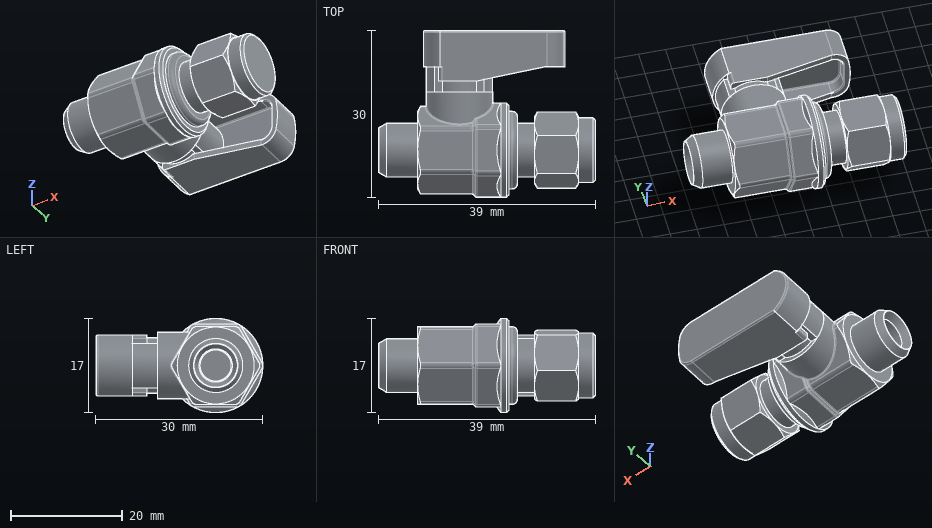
import cadquery as cq
import math

INLET_X = -14.55
NEAR = 0.05

HEX_HALF_ANGLE = math.radians(30)
CHAMFER_SLOPE = math.tan(HEX_HALF_ANGLE)

NIPPLE_R = 4.86
NIPPLE_TIP_R = 4.0
NIPPLE_CHAMFER_LEN = 1.45
MOUTH_R = 3.9
MOUTH_DEPTH = 1.5
BORE_R = 3.0
BORE_DEPTH = 7.0
INNER_BORE_R = 2.8
INNER_BORE_DEPTH = 12.0

SMALL_HEX_FLATS = 14.0
LARGE_HEX_FLATS = 15.0
HEX_EDGE_R = 1.05
HEX_FACE_R = 6.92
HEX_STEP_BLEND_R = 0.3
BOSS_BLEND_R = 0.2

NIPPLE_LEN = 7.0
SMALL_HEX_LEN = 10.05
LARGE_HEX_LEN = 4.25
COLLAR_CONE_LEN = 0.7
COLLAR_RIM_LEN = 1.5
SMALL_HEX_X = INLET_X + NIPPLE_LEN
HEX_STEP_X = SMALL_HEX_X + SMALL_HEX_LEN
HEX_STEP_OVERLAP = 0.2
HEX_STEP_LEN = (LARGE_HEX_FLATS - SMALL_HEX_FLATS) / 2
COLLAR_X = HEX_STEP_X + LARGE_HEX_LEN
COLLAR_RIM_X = COLLAR_X + COLLAR_CONE_LEN
COLLAR_END_X = COLLAR_RIM_X + COLLAR_RIM_LEN
COLLAR_R = 8.5
COLLAR_CHAMFER = 0.5

BOSS_R = 6.0
BOSS_TOP_Y = 10.5

STEM_R = 5.03
STEM_LOBE_R = 5.98
STEM_LOBE_WIDTH = 8.0

HANDLE_WIDTH = 11.0
HANDLE_TOP_Y = 21.5
HANDLE_UNDERSIDE_Y = 15.0
HANDLE_HUB_R = 6.5
HANDLE_TIP_X = 19.0
HANDLE_TIP_R = 16.0
HANDLE_CORNER_R = 3.0
HANDLE_TOP_EDGE_R = 0.3
SKIRT_BOTTOM_Y = 12.4
SKIRT_START_X = -3.75
SKIRT_START_R = 0.65
SKIRT_SLOPE_START_X = 3.0
SKIRT_SLOPE_END_X = 15.5
HANDLE_WALL = 1.25
POCKET_FLOOR_Y = 17.6
POCKET_END_X = HANDLE_TIP_X - HANDLE_WALL
POCKET_CORNER_R = POCKET_END_X - SKIRT_SLOPE_END_X
POCKET_FLOOR_R = 0.2
POCKET_RIM_R = 0.2

CONNECTOR_FLANGE_R = 7.0
CONNECTOR_FLANGE_LEN = 1.5
CONNECTOR_ROUND_R = 0.95
CONNECTOR_NECK_R = 4.85
CONNECTOR_LEN = 4.55

NUT_FLATS = 12.0
NUT_TURN = 7.6
NUT_HEX_LEN = 7.95
NUT_FACE_R = 6.0
NUT_COLLAR_R = 5.87
NUT_COLLAR_CHAMFER = 0.5
NUT_LEN = 11.0
NUT_X = COLLAR_END_X + CONNECTOR_LEN


def hexagon(flats, x_start, x_end):
    """Hexagonal prism along X with two corners on the Y axis."""
    corner_diameter = flats / math.cos(HEX_HALF_ANGLE)
    plane = cq.Workplane("YZ", origin=(x_start, 0, 0))
    return plane.polygon(6, corner_diameter).extrude(x_end - x_start)


def turned(points):
    """Solid of revolution about X from (x, radius) points that start and end on the axis."""
    return cq.Workplane("XY").polyline(points).close().revolve(360, (0, 0, 0), (1, 0, 0))


def edges_near_x(x):
    """Selector for edges whose centres lie at the given X position."""
    reach = 2 * COLLAR_R
    return cq.selectors.BoxSelector((x - NEAR, -reach, -reach), (x + NEAR, reach, reach))


def across_y(y_start, y_end):
    """Workplane for XZ outlines at y_start, with the distance that extrudes them to y_end."""
    return cq.Workplane("XZ", origin=(0, y_start, 0)), -(y_end - y_start)


def body_hexagons():
    small = hexagon(SMALL_HEX_FLATS, SMALL_HEX_X, COLLAR_X).edges("|X").fillet(HEX_EDGE_R)
    large_start_x = HEX_STEP_X - HEX_STEP_OVERLAP
    large = hexagon(LARGE_HEX_FLATS, large_start_x, COLLAR_RIM_X).edges("|X").fillet(HEX_EDGE_R)
    large = large.faces("<X").chamfer(HEX_STEP_LEN + HEX_STEP_OVERLAP)
    slope_top = edges_near_x(HEX_STEP_X + HEX_STEP_LEN)
    large = large.edges(slope_top).fillet(HEX_STEP_BLEND_R)

    chamfer_cap_r = 1.1 * COLLAR_R
    chamfer_end_x = SMALL_HEX_X + (chamfer_cap_r - HEX_FACE_R) * CHAMFER_SLOPE
    envelope = turned([
        (SMALL_HEX_X, 0),
        (SMALL_HEX_X, HEX_FACE_R),
        (chamfer_end_x, chamfer_cap_r),
        (COLLAR_RIM_X, chamfer_cap_r),
        (COLLAR_RIM_X, 0),
    ])
    slope_foot = edges_near_x(HEX_STEP_X)
    hexagons = small.union(large).edges(slope_foot).fillet(HEX_STEP_BLEND_R)
    return hexagons.intersect(envelope)


def body_nipple():
    return turned([
        (INLET_X, 0),
        (INLET_X, NIPPLE_TIP_R),
        (INLET_X + NIPPLE_CHAMFER_LEN, NIPPLE_R),
        (SMALL_HEX_X, NIPPLE_R),
        (SMALL_HEX_X, 0),
    ])


def body_collar():
    return turned([
        (COLLAR_X, 0),
        (COLLAR_X, LARGE_HEX_FLATS / 2),
        (COLLAR_RIM_X, COLLAR_R),
        (COLLAR_END_X - COLLAR_CHAMFER, COLLAR_R),
        (COLLAR_END_X, COLLAR_R - COLLAR_CHAMFER),
        (COLLAR_END_X, 0),
    ])


def body_bore():
    bore_end_x = INLET_X + BORE_DEPTH
    inner_end_x = INLET_X + INNER_BORE_DEPTH
    return turned([
        (INLET_X, 0),
        (INLET_X, MOUTH_R),
        (INLET_X + MOUTH_DEPTH, BORE_R),
        (bore_end_x, BORE_R),
        (bore_end_x, INNER_BORE_R),
        (inner_end_x, INNER_BORE_R),
        (inner_end_x, 0),
    ])


def is_boss_foot(edge):
    """True for edges that lie on the side of the boss, below its top."""
    on_boss = [
        math.isclose(math.hypot(point.x, point.z), BOSS_R, abs_tol=NEAR)
        for point in edge.positions([0, 0.3, 0.5, 1])
    ]
    return all(on_boss) and edge.geomType() != "LINE" and edge.Center().y < BOSS_TOP_Y - NEAR


def make_body():
    plane, height = across_y(0, BOSS_TOP_Y)
    boss = plane.circle(BOSS_R).extrude(height)
    body = body_hexagons().union(boss)
    body = body.edges().filter(is_boss_foot).fillet(BOSS_BLEND_R)
    return body.union(body_nipple()).union(body_collar()).cut(body_bore())


def make_stem():
    """Round stem with two wider lobes that key it to the handle."""
    plane, height = across_y(BOSS_TOP_Y, POCKET_FLOOR_Y)
    core = plane.circle(STEM_R).extrude(height)
    lobe_limit = plane.rect(2 * STEM_LOBE_R, STEM_LOBE_WIDTH).extrude(height)
    lobes = plane.circle(STEM_LOBE_R).extrude(height).intersect(lobe_limit)
    return core.union(lobes)


def handle_grip():
    half = HANDLE_WIDTH / 2
    side_start_x = -math.sqrt(HANDLE_HUB_R**2 - half**2)
    side_end_x = HANDLE_TIP_X - HANDLE_TIP_R + math.sqrt(HANDLE_TIP_R**2 - half**2)
    plane, height = across_y(HANDLE_UNDERSIDE_Y, HANDLE_TOP_Y)
    grip = (
        plane.moveTo(side_start_x, -half)
        .lineTo(side_end_x, -half)
        .threePointArc((HANDLE_TIP_X, 0), (side_end_x, half))
        .lineTo(side_start_x, half)
        .threePointArc((-HANDLE_HUB_R, 0), (side_start_x, -half))
        .close()
        .extrude(height)
    )
    grip = grip.edges("|Y").edges(">X").fillet(HANDLE_CORNER_R)
    return grip.faces(">Y").edges().fillet(HANDLE_TOP_EDGE_R)


def handle_skirt():
    """Skirt below the grip, with rounded ends and a slope rising towards the tip."""
    skirt = (
        cq.Workplane("XY")
        .moveTo(SKIRT_START_X, HANDLE_UNDERSIDE_Y)
        .lineTo(SKIRT_START_X, SKIRT_BOTTOM_Y)
        .lineTo(SKIRT_SLOPE_START_X, SKIRT_BOTTOM_Y)
        .lineTo(SKIRT_SLOPE_END_X, HANDLE_UNDERSIDE_Y)
        .close()
        .extrude(HANDLE_WIDTH / 2, both=True)
    )
    return skirt.edges("|Y").fillet(SKIRT_START_R)


def handle_pocket():
    """Pocket open towards the body, from the stem axis to the tip wall."""
    width = HANDLE_WIDTH - 2 * HANDLE_WALL
    plane, depth = across_y(SKIRT_BOTTOM_Y, POCKET_FLOOR_Y)
    pocket = plane.center(POCKET_END_X / 2, 0).rect(POCKET_END_X, width).extrude(depth)
    pocket = pocket.edges("|Y and >X").fillet(POCKET_CORNER_R)
    return pocket.faces(">Y").edges().fillet(POCKET_FLOOR_R)


def make_handle(stem):
    handle = handle_grip().union(handle_skirt()).cut(handle_pocket()).cut(stem)
    rim_reach = HANDLE_WIDTH / 2 - HANDLE_WALL
    pocket_rim = cq.selectors.BoxSelector(
        (SKIRT_SLOPE_END_X + NEAR, HANDLE_UNDERSIDE_Y - NEAR, -rim_reach),
        (POCKET_END_X + NEAR, HANDLE_UNDERSIDE_Y + NEAR, rim_reach),
    )
    return handle.edges(pocket_rim).fillet(POCKET_RIM_R)


def make_connector():
    flange_end_x = COLLAR_END_X + CONNECTOR_FLANGE_LEN
    flange = cq.Workplane("YZ", origin=(COLLAR_END_X, 0, 0)).circle(CONNECTOR_FLANGE_R)
    flange = flange.extrude(CONNECTOR_FLANGE_LEN).faces(">X").edges().fillet(CONNECTOR_ROUND_R)
    neck = cq.Workplane("YZ", origin=(flange_end_x, 0, 0)).circle(CONNECTOR_NECK_R)
    return flange.union(neck.extrude(NUT_X - flange_end_x))


def make_nut():
    hex_end_x = NUT_X + NUT_HEX_LEN
    end_x = NUT_X + NUT_LEN
    corner_r = NUT_FLATS / 2 / math.cos(HEX_HALF_ANGLE)
    chamfer_len = (corner_r - NUT_FACE_R) * CHAMFER_SLOPE
    envelope = turned([
        (NUT_X, 0),
        (NUT_X, NUT_FACE_R),
        (NUT_X + chamfer_len, corner_r),
        (hex_end_x - chamfer_len, corner_r),
        (hex_end_x, NUT_FACE_R),
        (hex_end_x, 0),
    ])
    collar = turned([
        (hex_end_x, 0),
        (hex_end_x, NUT_COLLAR_R),
        (end_x - NUT_COLLAR_CHAMFER, NUT_COLLAR_R),
        (end_x, NUT_COLLAR_R - NUT_COLLAR_CHAMFER),
        (end_x, 0),
    ])
    prism = hexagon(NUT_FLATS, NUT_X, hex_end_x).rotate((0, 0, 0), (1, 0, 0), NUT_TURN)
    return prism.intersect(envelope).union(collar)


body = make_body()
stem = make_stem()
handle = make_handle(stem)
connector = make_connector()
nut = make_nut()

result = cq.Compound.makeCompound([
    body.val(),
    stem.val(),
    handle.val(),
    connector.val(),
    nut.val(),
])